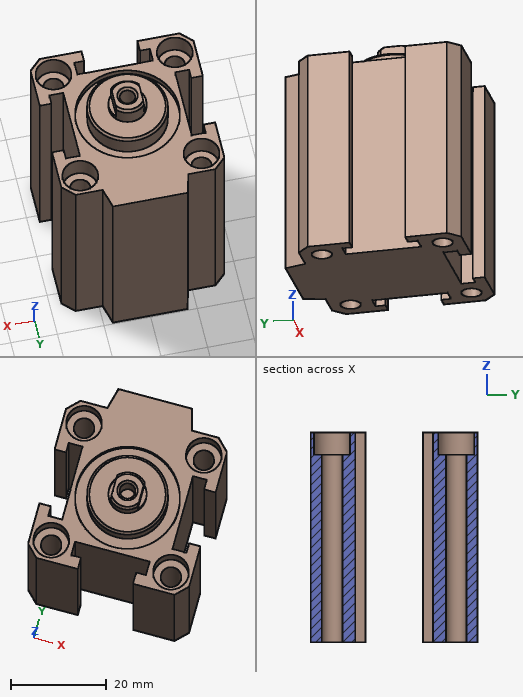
import cadquery as cq

body_width = 35.0
body_height = 44.0
corner_chamfer = 2.5
half_width = body_width / 2

rail_reach = 22.05
rail_tip_half_width = 8.0
rail_root_half_width = 9.2

slot_mouth_width = 12.0
slot_inner_width = 16.2
slot_lip = 2.5
slot_depth = 5.5

mount_spacing = 26.0
mount_hole_diameter = 4.3
mount_bore_diameter = 7.5
mount_bore_depth = 4.7

recess_diameter = 22.0
recess_depth = 1.5
collar_diameter = 17.0
collar_projection = 3.0
edge_chamfer = 0.5
recess_floor = body_height - recess_depth
collar_top = body_height + collar_projection

rod_diameter = 8.0
rod_top = 51.0
rod_flat_width = 5.9
rod_flat_height = 3.0
rod_hole_diameter = 3.25
rod_hole_depth = 6.1
rod_bottom = recess_floor


def rail():
    """Tapered rail along the full height of the +Y side."""
    outline = [
        (-rail_root_half_width, half_width),
        (-rail_tip_half_width, rail_reach),
        (rail_tip_half_width, rail_reach),
        (rail_root_half_width, half_width),
    ]
    return cq.Workplane("XY").polyline(outline).close().extrude(body_height)


def t_slot(angle):
    """T-slot cutter for the -Y side, turned about Z by the angle."""
    mouth = cq.Workplane("XY").box(slot_mouth_width, slot_depth, body_height, centered=(True, False, False))
    inner = cq.Workplane("XY").box(
        slot_inner_width, slot_depth - slot_lip, body_height, centered=(True, False, False)
    )
    inner_shift = slot_lip - half_width
    slot = mouth.translate((0, -half_width, 0)).union(inner.translate((0, inner_shift, 0)))
    return slot.rotate((0, 0, 0), (0, 0, 1), angle)


def guide_collar():
    """Chamfered collar rising from the recess floor."""
    collar = cq.Workplane("XY").workplane(offset=recess_floor).circle(collar_diameter / 2)
    return collar.extrude(collar_top - recess_floor).faces(">Z").chamfer(edge_chamfer)


def make_housing():
    """Housing with rail, slots, mounting holes, recess, collar and rod bore."""
    block = cq.Workplane("XY").box(body_width, body_width, body_height, centered=(True, True, False))
    housing = block.edges("|Z").chamfer(corner_chamfer).union(rail())
    for angle in (-90, 0, 90):
        housing = housing.cut(t_slot(angle))
    top = cq.Workplane("XY").workplane(offset=body_height)
    housing = housing.cut(top.circle(recess_diameter / 2).extrude(-recess_depth))
    mounts = top.rect(mount_spacing, mount_spacing, forConstruction=True).vertices()
    housing = housing.cut(mounts.circle(mount_hole_diameter / 2).extrude(-body_height))
    housing = housing.cut(mounts.circle(mount_bore_diameter / 2).extrude(-mount_bore_depth))
    rod_bore = cq.Workplane("XY").workplane(offset=rod_bottom).circle(rod_diameter / 2)
    return housing.union(guide_collar()).cut(rod_bore.extrude(collar_top - rod_bottom))


def make_rod():
    """Piston rod with two wrench flats and a countersunk axial hole."""
    rod = cq.Workplane("XY").workplane(offset=rod_bottom).circle(rod_diameter / 2)
    rod = rod.extrude(rod_top - rod_bottom).faces(">Z").chamfer(edge_chamfer)
    tip = cq.Workplane("XY").workplane(offset=rod_top)
    tip_zone = tip.rect(rod_diameter, rod_diameter).extrude(-rod_flat_height)
    kept_core = tip.rect(rod_flat_width, rod_diameter).extrude(-rod_flat_height)
    rod = rod.cut(tip_zone.cut(kept_core))
    rod_hole = tip.circle(rod_hole_diameter / 2).extrude(-rod_hole_depth)
    countersink = tip.circle(rod_hole_diameter / 2 + edge_chamfer).workplane(offset=-edge_chamfer)
    countersink = countersink.circle(rod_hole_diameter / 2).loft()
    return rod.cut(rod_hole).cut(countersink)


housing = make_housing()
rod = make_rod()
result = cq.Compound.makeCompound([housing.val(), rod.val()])